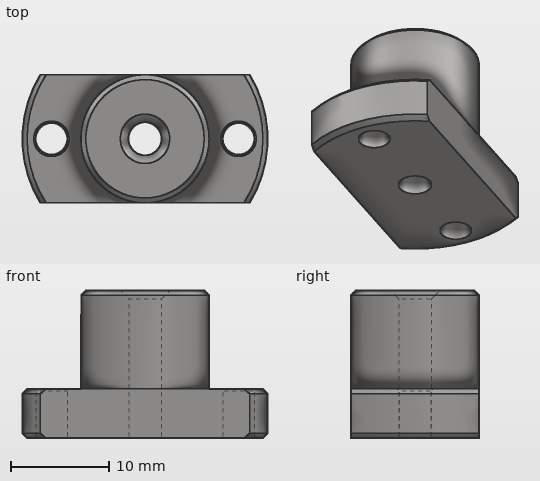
import cadquery as cq

flange_diameter = 24.92
flange_thickness = 5.0
edge_chamfer = 0.5

boss_diameter = 13.0
flange_width = boss_diameter
total_height = 15.0

bore_diameter = 3.35
bore_countersink_diameter = 5.0

mounting_hole_diameter = 3.2
mounting_hole_rim_diameter = 3.6
mounting_hole_spacing = 19.0


def make_flange():
    """Chamfer the full disc first so the flats cut through the chamfers."""
    disc = (
        cq.Workplane("XY")
        .circle(flange_diameter / 2)
        .extrude(flange_thickness)
        .edges()
        .chamfer(edge_chamfer)
    )
    between_flats = cq.Workplane("XY").box(
        flange_diameter, flange_width, flange_thickness, centered=(True, True, False)
    )
    return disc.intersect(between_flats)


def make_boss():
    return (
        cq.Workplane("XY")
        .circle(boss_diameter / 2)
        .extrude(total_height)
        .faces(">Z")
        .edges()
        .chamfer(edge_chamfer)
    )


def countersunk_hole(x, top, diameter, rim_diameter):
    """Through-hole cutter from Z = 0 to top, widened at 45 degrees to the rim."""
    radius = diameter / 2
    rim_radius = rim_diameter / 2
    countersink_depth = rim_radius - radius
    return (
        cq.Workplane("XZ")
        .moveTo(0, 0)
        .lineTo(radius, 0)
        .lineTo(radius, top - countersink_depth)
        .lineTo(rim_radius, top)
        .lineTo(0, top)
        .close()
        .revolve(360, (0, 0, 0), (0, 1, 0))
        .translate((x, 0, 0))
    )


result = make_flange().union(make_boss())
result = result.cut(countersunk_hole(0, total_height, bore_diameter, bore_countersink_diameter))
for side in (-1, 1):
    hole_x = side * mounting_hole_spacing / 2
    result = result.cut(
        countersunk_hole(hole_x, flange_thickness, mounting_hole_diameter, mounting_hole_rim_diameter)
    )